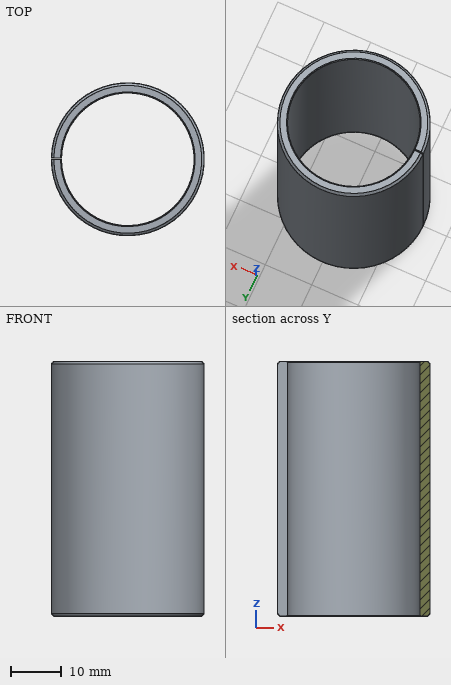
import cadquery as cq

outer_diameter = 30.0
inner_diameter = 26.0
length = 50.0
outer_chamfer = 0.5
inner_chamfer = 0.2

joint_angle = 1.0
sweep_angle = 360.0 - joint_angle

outer_radius = outer_diameter / 2
inner_radius = inner_diameter / 2


def make_wall_profile():
    """Wall section on the -X side, with all four rim corners chamfered."""
    return (
        cq.Workplane("XZ")
        .moveTo(-outer_radius, outer_chamfer)
        .lineTo(-outer_radius, length - outer_chamfer)
        .lineTo(-outer_radius + outer_chamfer, length)
        .lineTo(-inner_radius - inner_chamfer, length)
        .lineTo(-inner_radius, length - inner_chamfer)
        .lineTo(-inner_radius, inner_chamfer)
        .lineTo(-inner_radius - inner_chamfer, 0)
        .lineTo(-outer_radius + outer_chamfer, 0)
        .close()
    )


result = make_wall_profile().revolve(sweep_angle, (0, 0, 0), (0, 1, 0))